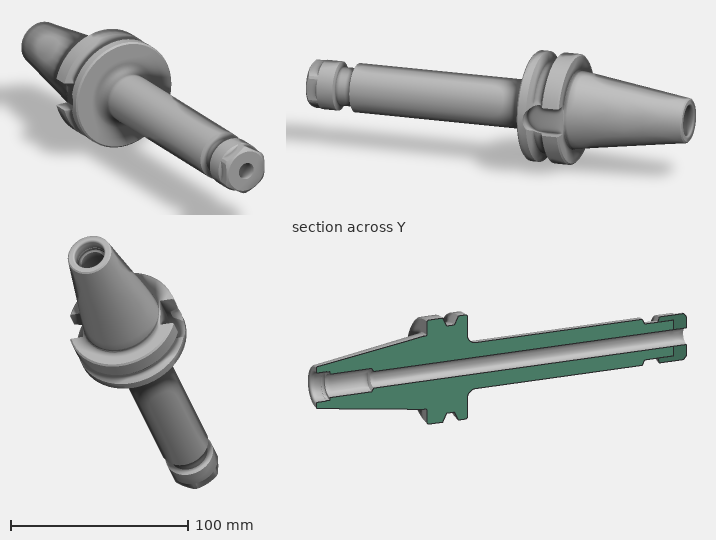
import cadquery as cq
import math

TOTAL_LENGTH = 225.8

TAPER_LENGTH = 65.5
GAUGE_DIAMETER = 44.5
TAPER_RATIO = 7 / 24
REAR_CHAMFER = 0.7
RELIEF_DIAMETER = 44.3
RELIEF_FILLET = 0.7

FLANGE_START = 67.5
FLANGE_END = 92.4
FLANGE_DIAMETER = 63.0
FLANGE_CHAMFER = 1.0
GROOVE_ROOT_DIAMETER = 52.8
GROOVE_START = 77.2
GROOVE_END = 86.7
GROOVE_FLANK_LENGTH = 2.5

SLOT_WIDTH = 16.3
SLOT_END = 88.5
SLOT_FLOOR_Y = 22.5

SHANK_DIAMETER = 28.0
SHANK_FILLET = 5.0
SHANK_END = 200.3
SHANK_END_TAPER = 1.4
NECK_DIAMETER = 22.0
NECK_END = 218.0

THROUGH_DIAMETER = 9.7
COUNTERBORE_DIAMETER = 17.4
COUNTERBORE_DEPTH = 6.5
MOUTH_FILLET = 1.1
STEP_DIAMETER = 17.0
STEP_DEPTH = 8.4
DRAWBAR_HOLE_DIAMETER = 13.8
DRAWBAR_HOLE_DEPTH = 33.9
DRILL_POINT_ANGLE = 118.0

NUT_START = 208.2
NUT_DIAMETER = SHANK_DIAMETER
NUT_REAR_TAPER = 1.0
COLLAR_END = 218.5
HEX_ACROSS_FLATS = 25.0
HEX_FLATS = 6
NUT_FACE_DIAMETER = 23.5
NUT_FACE_CHAMFER = 1.8


def revolve_about_x(profile):
    """Revolve a closed (X, radius) profile about the X axis."""
    return profile.close().revolve(360, (0, 0, 0), (1, 0, 0))


def x_cylinder(diameter, start, end):
    return cq.Workplane("YZ", origin=(start, 0, 0)).circle(diameter / 2).extrude(end - start)


def holder_blank():
    """Turned outside of the holder: taper, grooved flange, shank and neck."""
    gauge_radius = GAUGE_DIAMETER / 2
    rear_radius = gauge_radius - TAPER_LENGTH * TAPER_RATIO / 2
    relief_radius = RELIEF_DIAMETER / 2
    flange_radius = FLANGE_DIAMETER / 2
    groove_radius = GROOVE_ROOT_DIAMETER / 2
    shank_radius = SHANK_DIAMETER / 2
    neck_radius = NECK_DIAMETER / 2
    fillet_centre = (FLANGE_END + SHANK_FILLET, shank_radius + SHANK_FILLET)
    fillet_reach = SHANK_FILLET * math.sqrt(0.5)
    profile = (
        cq.Workplane("XY")
        .moveTo(0, 0)
        .lineTo(0, rear_radius - REAR_CHAMFER)
        .lineTo(REAR_CHAMFER, rear_radius + REAR_CHAMFER * TAPER_RATIO / 2)
        .lineTo(TAPER_LENGTH, gauge_radius)
        .lineTo(TAPER_LENGTH, relief_radius)
        .lineTo(FLANGE_START - RELIEF_FILLET, relief_radius)
        .radiusArc((FLANGE_START, relief_radius + RELIEF_FILLET), -RELIEF_FILLET)
        .lineTo(FLANGE_START, flange_radius - FLANGE_CHAMFER)
        .lineTo(FLANGE_START + FLANGE_CHAMFER, flange_radius)
        .lineTo(GROOVE_START, flange_radius)
        .lineTo(GROOVE_START + GROOVE_FLANK_LENGTH, groove_radius)
        .lineTo(GROOVE_END - GROOVE_FLANK_LENGTH, groove_radius)
        .lineTo(GROOVE_END, flange_radius)
        .lineTo(FLANGE_END - FLANGE_CHAMFER, flange_radius)
        .lineTo(FLANGE_END, flange_radius - FLANGE_CHAMFER)
        .lineTo(FLANGE_END, fillet_centre[1])
        .threePointArc(
            (fillet_centre[0] - fillet_reach, fillet_centre[1] - fillet_reach),
            (fillet_centre[0], shank_radius),
        )
        .lineTo(SHANK_END - SHANK_END_TAPER, shank_radius)
        .lineTo(SHANK_END, neck_radius)
        .lineTo(NECK_END, neck_radius)
        .lineTo(NECK_END, 0)
    )
    return revolve_about_x(profile)


def drive_slot(side):
    """Cutter for one round-ended drive slot; side is +1 or -1 along Y."""
    arc_centre_x = SLOT_END - SLOT_WIDTH / 2
    depth = FLANGE_DIAMETER / 2 - SLOT_FLOOR_Y
    start_y = SLOT_FLOOR_Y if side > 0 else -FLANGE_DIAMETER / 2
    return (
        cq.Workplane("XZ", origin=(0, start_y, 0))
        .moveTo(FLANGE_START, -SLOT_WIDTH / 2)
        .lineTo(arc_centre_x, -SLOT_WIDTH / 2)
        .threePointArc((SLOT_END, 0), (arc_centre_x, SLOT_WIDTH / 2))
        .lineTo(FLANGE_START, SLOT_WIDTH / 2)
        .close()
        .extrude(-depth)
    )


def holder_bore():
    """Cutter for the stepped rear hole with its drill point and the through hole."""
    counterbore_radius = COUNTERBORE_DIAMETER / 2
    step_radius = STEP_DIAMETER / 2
    hole_radius = DRAWBAR_HOLE_DIAMETER / 2
    through_radius = THROUGH_DIAMETER / 2
    point_length = (hole_radius - through_radius) / math.tan(math.radians(DRILL_POINT_ANGLE / 2))
    profile = (
        cq.Workplane("XY")
        .moveTo(0, 0)
        .lineTo(0, counterbore_radius + MOUTH_FILLET)
        .radiusArc((MOUTH_FILLET, counterbore_radius), -MOUTH_FILLET)
        .lineTo(COUNTERBORE_DEPTH, counterbore_radius)
        .lineTo(COUNTERBORE_DEPTH, step_radius)
        .lineTo(STEP_DEPTH, step_radius)
        .lineTo(STEP_DEPTH, hole_radius)
        .lineTo(DRAWBAR_HOLE_DEPTH, hole_radius)
        .lineTo(DRAWBAR_HOLE_DEPTH + point_length, through_radius)
        .lineTo(NECK_END, through_radius)
        .lineTo(NECK_END, 0)
    )
    return revolve_about_x(profile)


def make_holder():
    body = holder_blank().cut(holder_bore())
    for side in (1, -1):
        body = body.cut(drive_slot(side))
    return body


def wrench_flats():
    """Cutter for the hexagon flats, which run out on a 45 degree cone at the collar."""
    nut_radius = NUT_DIAMETER / 2
    flat_depth = nut_radius - HEX_ACROSS_FLATS / 2
    ring = revolve_about_x(
        cq.Workplane("XY")
        .moveTo(COLLAR_END, nut_radius)
        .lineTo(COLLAR_END + flat_depth, nut_radius - flat_depth)
        .lineTo(TOTAL_LENGTH, nut_radius - flat_depth)
        .lineTo(TOTAL_LENGTH, nut_radius)
    )
    across_corners = HEX_ACROSS_FLATS / math.cos(math.pi / HEX_FLATS)
    hexagon = (
        cq.Workplane("YZ", origin=(COLLAR_END, 0, 0))
        .transformed(rotate=(0, 0, 90))
        .polygon(HEX_FLATS, across_corners)
        .extrude(TOTAL_LENGTH - COLLAR_END)
    )
    return ring.cut(hexagon)


def make_nut():
    nut_radius = NUT_DIAMETER / 2
    profile = (
        cq.Workplane("XY")
        .moveTo(NUT_START, 0)
        .lineTo(NUT_START, NECK_DIAMETER / 2)
        .lineTo(NUT_START + NUT_REAR_TAPER, nut_radius)
        .lineTo(TOTAL_LENGTH - NUT_FACE_CHAMFER, nut_radius)
        .lineTo(TOTAL_LENGTH, NUT_FACE_DIAMETER / 2)
        .lineTo(TOTAL_LENGTH, 0)
    )
    neck_recess = x_cylinder(NECK_DIAMETER, NUT_START, NECK_END)
    through_hole = x_cylinder(THROUGH_DIAMETER, NUT_START, TOTAL_LENGTH)
    return revolve_about_x(profile).cut(wrench_flats()).cut(neck_recess).cut(through_hole)


holder = make_holder()
nut = make_nut()
result = cq.Compound.makeCompound([holder.val(), nut.val()])